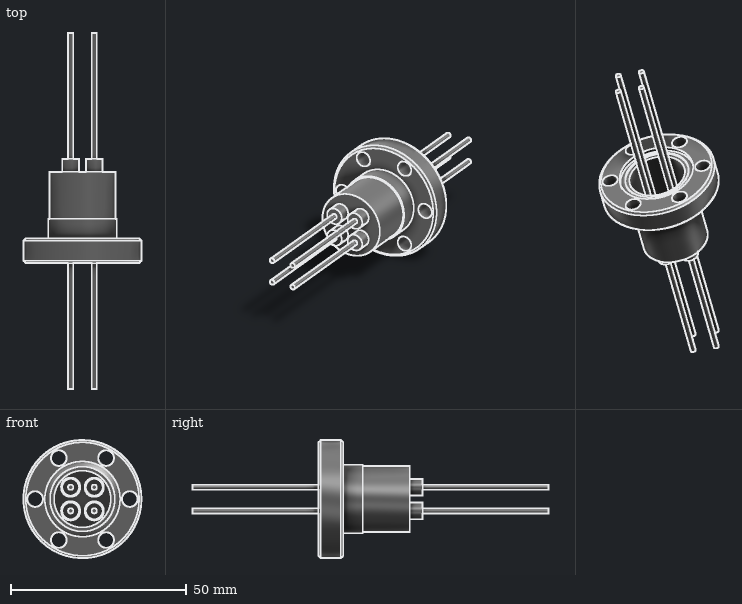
import cadquery as cq
import math


overall_length = 101.6
pin_radius = 0.76
pin_circle_diameter = 9.53
pin_count = 4

flange_diameter = 33.78
flange_thickness = 7.1
flange_front_y = -14.85
flange_chamfer = 0.7
bolt_circle_diameter = 27.0
bolt_hole_diameter = 4.4
bolt_count = 6

recess_radius = 10.75
recess_depth = 1.3
knife_tip_radius = 9.25
knife_tip_depth = 0.65
gasket_land_depth = 1.1

collar_radius = 9.8
collar_end_y = -2.2
housing_radius = 9.45
housing_end_y = 11.2
bore_radius = 8.1
end_wall_thickness = 2.0

insulator_radius = 2.4
insulator_end_y = 14.9
seal_base_radius = 2.75

flange_radius = flange_diameter / 2
flange_back_y = flange_front_y + flange_thickness
end_wall_y = housing_end_y - end_wall_thickness
seal_height = seal_base_radius - insulator_radius


def cylinder(radius, start_y, end_y, x=0, z=0):
    """Solid cylinder along Y, from start_y to end_y."""
    return cq.Workplane(cq.Solid.makeCylinder(
        radius, end_y - start_y, cq.Vector(x, start_y, z), cq.Vector(0, 1, 0)
    ))


def polar_points(diameter, count, start_angle):
    """Evenly spaced (x, z) points on a circle about the part axis; angles in degrees."""
    angles = [math.radians(start_angle + 360 * i / count) for i in range(count)]
    return [(diameter / 2 * math.cos(a), diameter / 2 * math.sin(a)) for a in angles]


def body():
    """Flange, collar and blind housing, revolved about Y from (radius, y) points."""
    profile = [
        (0, end_wall_y),
        (bore_radius, end_wall_y),
        (bore_radius, flange_front_y + gasket_land_depth),
        (knife_tip_radius, flange_front_y + gasket_land_depth),
        (knife_tip_radius, flange_front_y + knife_tip_depth),
        (recess_radius, flange_front_y + recess_depth),
        (recess_radius, flange_front_y),
        (flange_radius - flange_chamfer, flange_front_y),
        (flange_radius, flange_front_y + flange_chamfer),
        (flange_radius, flange_back_y - flange_chamfer),
        (flange_radius - flange_chamfer, flange_back_y),
        (collar_radius, flange_back_y),
        (collar_radius, collar_end_y),
        (housing_radius, collar_end_y),
        (housing_radius, housing_end_y),
        (0, housing_end_y),
    ]
    return cq.Workplane("XY").polyline(profile).close().revolve(360, (0, 0), (0, 1))


def bolt_holes():
    """Through holes in the flange, two of them on the X axis."""
    holes = cq.Workplane("XY")
    for x, z in polar_points(bolt_circle_diameter, bolt_count, 0):
        holes = holes.add(cylinder(bolt_hole_diameter / 2, flange_front_y, flange_back_y, x, z))
    return holes.combine()


def seal(x, z):
    """Conical seal standing on the inner face of the end wall and tapering toward -Y."""
    return cq.Workplane(cq.Solid.makeCone(
        seal_base_radius, insulator_radius, seal_height,
        cq.Vector(x, end_wall_y, z), cq.Vector(0, -1, 0)
    ))


def conductor(x, z):
    """Full-length pin with its insulator and seal."""
    pin = cylinder(pin_radius, -overall_length / 2, overall_length / 2, x, z)
    insulator = cylinder(insulator_radius, end_wall_y, insulator_end_y, x, z)
    return pin.union(insulator).union(seal(x, z))


result = body().cut(bolt_holes())
for pin_x, pin_z in polar_points(pin_circle_diameter, pin_count, 45):
    result = result.union(conductor(pin_x, pin_z))